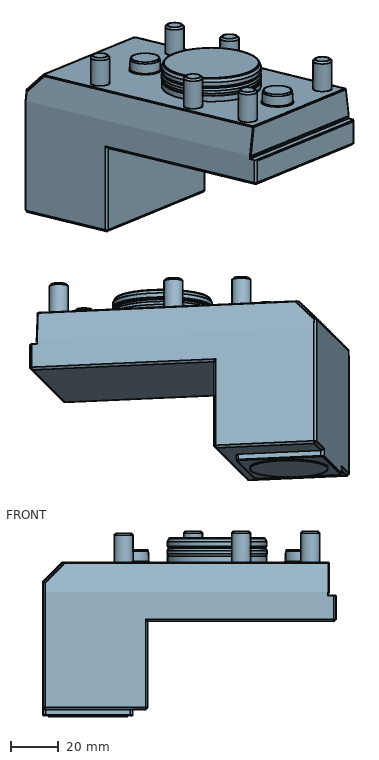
import cadquery as cq

LENGTH = 123.0
WIDTH = 68.0
COLUMN_LENGTH = 44.0
COLUMN_BOTTOM_Z = 3.1
ARM_BOTTOM_Z = 40.1
DECK_Z = 65.0
END_SLOPE = 8.1
TAPER_START_Z = 52.5
TAPER_INSET = 2.1
EDGE_CHAMFER = 1.0
EDGE_BREAK = 0.4

COVER_END_X = 120.0
GROOVE_X = 119.7
LEDGE_Z = 51.0
COVER_BOTTOM_Z = 52.2

PAD_SIZE = 37.8
PAD_BOTTOM_Z = 0.5
PAD_TOP_Z = 5.0
PAD_CORNER_CHAMFER = 1.1
DISC_DIAMETER = 32.8

MARGIN = 1.2
ROOT_DEPTH = 1.2

BOSS_X = 73.1
BOSS_DIAMETER = 41.8
RING_DIAMETER = 42.0
RING_EDGE_DIAMETER = 41.0
NECK_DIAMETER = 37.0
CAP_RIM_DIAMETER = 40.5
BOSS_TOP_DIAMETER = 39.7
BOSS_BASE_Z = 67.4
RING_LOW_Z = 68.5
RING_HIGH_Z = 69.7
RING_TOP_Z = 70.7
CAP_BOTTOM_Z = 71.3
CAP_SHOULDER_Z = 73.4
CAP_RIM_Z = 74.8
BOSS_TOP_Z = 75.2

DOWEL_XS = (38.0, 108.1)
DOWEL_DIAMETER = 13.5
DOWEL_WAIST_DIAMETER = 12.9
DOWEL_SHOULDER_DIAMETER = 12.4
DOWEL_TOP_DIAMETER = 11.7
DOWEL_COLLAR_Z = 65.3
DOWEL_SHOULDER_Z = 69.5
DOWEL_TOP_Z = 70.2

PIN_DIAMETER = 8.0
PIN_CHAMFER = 0.9
PIN_Y = 25.6
SHORT_PIN_TOP_Z = 77.1
TALL_PIN_TOP_Z = 78.0
PIN_PLACES = (
    (33.8, -PIN_Y, SHORT_PIN_TOP_Z),
    (33.8, PIN_Y, SHORT_PIN_TOP_Z),
    (63.0, PIN_Y, TALL_PIN_TOP_Z),
    (83.1, -PIN_Y, TALL_PIN_TOP_Z),
    (112.2, -PIN_Y, TALL_PIN_TOP_Z),
    (112.2, PIN_Y, TALL_PIN_TOP_Z),
)


def revolve_at(x, profile):
    """Turn an (r, z) profile about the vertical axis at (x, 0)."""
    return profile.close().revolve(360, (0, 0), (0, 1)).translate((x, 0, 0))


def edges_centered_in(low_x, high_x, low_z, high_z):
    """Selector for edges whose middle lies in an X-Z window, at any Y."""
    return cq.selectors.BoxSelector(
        (low_x - MARGIN, -WIDTH, low_z - MARGIN),
        (high_x + MARGIN, WIDTH, high_z + MARGIN),
    )


def make_housing():
    side_outline = [
        (0, COLUMN_BOTTOM_Z),
        (COLUMN_LENGTH, COLUMN_BOTTOM_Z),
        (COLUMN_LENGTH, ARM_BOTTOM_Z),
        (LENGTH, ARM_BOTTOM_Z),
        (LENGTH, LEDGE_Z),
        (COVER_END_X, LEDGE_Z),
        (COVER_END_X, DECK_Z),
        (END_SLOPE, DECK_Z),
        (0, DECK_Z - END_SLOPE),
    ]
    half_width = WIDTH / 2
    deck_half_width = half_width - TAPER_INSET
    end_outline = [
        (-half_width, 0),
        (half_width, 0),
        (half_width, TAPER_START_Z),
        (deck_half_width, DECK_Z),
        (-deck_half_width, DECK_Z),
        (-half_width, TAPER_START_Z),
    ]
    body = cq.Workplane("XZ").polyline(side_outline).close().extrude(half_width, both=True)
    envelope = cq.Workplane("YZ").polyline(end_outline).close().extrude(LENGTH)
    body = body.intersect(envelope)

    below_ledge = edges_centered_in(0, LENGTH, COLUMN_BOTTOM_Z, LEDGE_Z - 2 * MARGIN)
    low_x_end = edges_centered_in(0, END_SLOPE / 2, TAPER_START_Z, DECK_Z - END_SLOPE / 2)
    cross_edges = cq.selectors.ParallelDirSelector(cq.Vector(0, 1, 0))
    column_cross_edges = edges_centered_in(0, COLUMN_LENGTH, COLUMN_BOTTOM_Z, COLUMN_BOTTOM_Z) & cross_edges
    tip_cross_edge = edges_centered_in(LENGTH, LENGTH, ARM_BOTTOM_Z, ARM_BOTTOM_Z) & cross_edges
    profile_edges = below_ledge + low_x_end - cross_edges
    body = body.edges(profile_edges + column_cross_edges + tip_cross_edge).chamfer(EDGE_CHAMFER)

    deck_edges = edges_centered_in(LENGTH / 2, COVER_END_X, DECK_Z, DECK_Z)
    cover_end_edges = edges_centered_in(COVER_END_X, COVER_END_X, COVER_BOTTOM_Z + MARGIN / 2, DECK_Z)
    ledge_edge = edges_centered_in(LENGTH, LENGTH, LEDGE_Z, LEDGE_Z) & cross_edges
    body = body.edges(deck_edges + cover_end_edges + ledge_edge).chamfer(EDGE_BREAK)

    groove = cq.Workplane("XY").box(
        LENGTH, WIDTH, COVER_BOTTOM_Z - LEDGE_Z, centered=(False, True, False)
    )
    return body.cut(groove.translate((GROOVE_X, 0, LEDGE_Z)))


def make_pad():
    """Square pad with chamfered corners, carrying a shallow disc."""
    center = PAD_SIZE / 2
    pad = (
        cq.Workplane("XY", origin=(center, 0, PAD_BOTTOM_Z))
        .rect(PAD_SIZE, PAD_SIZE)
        .extrude(PAD_TOP_Z - PAD_BOTTOM_Z)
        .edges("|Z")
        .chamfer(PAD_CORNER_CHAMFER)
        .faces("<Z")
        .chamfer(EDGE_BREAK)
    )
    disc = cq.Workplane("XY", origin=(center, 0, 0)).circle(DISC_DIAMETER / 2).extrude(PAD_TOP_Z)
    return pad.union(disc)


def make_boss():
    """Stepped boss: base, bevelled ring, narrow neck and a cap with a bevelled rim."""
    profile = (
        cq.Workplane("XZ")
        .moveTo(0, DECK_Z - ROOT_DEPTH)
        .lineTo(BOSS_DIAMETER / 2, DECK_Z - ROOT_DEPTH)
        .lineTo(BOSS_DIAMETER / 2, BOSS_BASE_Z)
        .lineTo(RING_EDGE_DIAMETER / 2, BOSS_BASE_Z)
        .lineTo(RING_DIAMETER / 2, RING_LOW_Z)
        .lineTo(RING_DIAMETER / 2, RING_HIGH_Z)
        .lineTo(RING_EDGE_DIAMETER / 2, RING_TOP_Z)
        .lineTo(NECK_DIAMETER / 2, RING_TOP_Z)
        .lineTo(NECK_DIAMETER / 2, CAP_BOTTOM_Z)
        .lineTo(BOSS_DIAMETER / 2 - EDGE_BREAK, CAP_BOTTOM_Z)
        .lineTo(BOSS_DIAMETER / 2, CAP_BOTTOM_Z + EDGE_BREAK)
        .lineTo(BOSS_DIAMETER / 2, CAP_SHOULDER_Z)
        .lineTo(CAP_RIM_DIAMETER / 2, CAP_RIM_Z)
        .lineTo(BOSS_TOP_DIAMETER / 2, BOSS_TOP_Z)
        .lineTo(0, BOSS_TOP_Z)
    )
    return revolve_at(BOSS_X, profile)


def make_dowel(x):
    waist_z = (DOWEL_COLLAR_Z + DOWEL_SHOULDER_Z) / 2
    profile = (
        cq.Workplane("XZ")
        .moveTo(0, DECK_Z - ROOT_DEPTH)
        .lineTo(DOWEL_DIAMETER / 2, DECK_Z - ROOT_DEPTH)
        .lineTo(DOWEL_DIAMETER / 2, DECK_Z)
        .lineTo(DOWEL_WAIST_DIAMETER / 2, DOWEL_COLLAR_Z)
        .threePointArc(
            (DOWEL_WAIST_DIAMETER / 2, waist_z),
            (DOWEL_SHOULDER_DIAMETER / 2, DOWEL_SHOULDER_Z),
        )
        .lineTo(DOWEL_TOP_DIAMETER / 2, DOWEL_TOP_Z)
        .lineTo(0, DOWEL_TOP_Z)
    )
    return revolve_at(x, profile)


def make_pin(x, y, top_z):
    root_z = DECK_Z - ROOT_DEPTH
    pin = cq.Workplane("XY", origin=(x, y, root_z)).circle(PIN_DIAMETER / 2).extrude(top_z - root_z)
    return pin.faces(">Z").chamfer(PIN_CHAMFER)


result = make_housing().union(make_pad()).union(make_boss())
for dowel_x in DOWEL_XS:
    result = result.union(make_dowel(dowel_x))
for pin_x, pin_y, pin_top_z in PIN_PLACES:
    result = result.union(make_pin(pin_x, pin_y, pin_top_z))
result = cq.Workplane(result.solids().val())